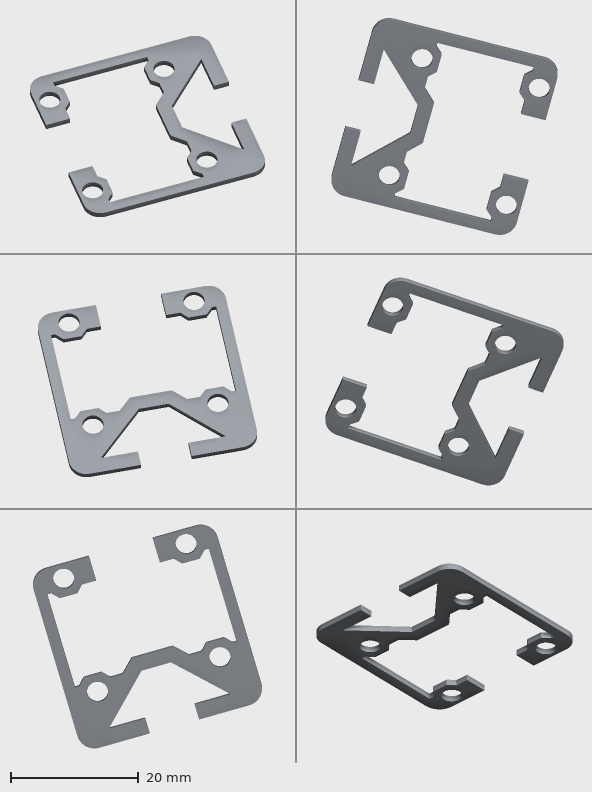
import cadquery as cq

side = 30.0
thickness = 1.0
corner_radius = 2.75
half = side / 2

slot_mouth_half = 4.05
slot_lip = 2.5
slot_wide_half = 10.0
slot_floor_half = 2.4
slot_lip_y = half - slot_lip
slot_floor_y = slot_lip_y - (slot_wide_half - slot_floor_half)

wall = 1.8
cavity_half = half - wall
cavity_top_y = 4.65
cavity_bottom_y = -11.0
cavity_mouth_half = 5.22
hub_half = 3.35
hub_drop = 2.05
hub_top_half = hub_half + hub_drop

hole_x = 10.0
hole_radius = 1.65
upper_hole_y = 6.3
lower_hole_y = -12.7
boss_tip_half = 1.45
boss_base_half = 2.52
boss_height = 1.15


def mirrored_prism(right_side):
    """Extrude an outline given by its +X half, mirrored about the Y axis."""
    left_side = [(-x, y) for x, y in reversed(right_side)]
    return cq.Workplane("XY").polyline(right_side + left_side).close().extrude(thickness)


def boss(x, base_y, height):
    """Trapezoid standing on the cavity edge; a negative height points to -Y."""
    return (
        cq.Workplane("XY")
        .moveTo(x - boss_base_half, base_y)
        .lineTo(x + boss_base_half, base_y)
        .lineTo(x + boss_tip_half, base_y + height)
        .lineTo(x - boss_tip_half, base_y + height)
        .close()
        .extrude(thickness)
    )


plate = cq.Workplane("XY").rect(side, side).extrude(thickness).edges("|Z").fillet(corner_radius)

slot = mirrored_prism([
    (slot_mouth_half, half),
    (slot_mouth_half, slot_lip_y),
    (slot_wide_half, slot_lip_y),
    (slot_floor_half, slot_floor_y),
])

cavity = mirrored_prism([
    (hub_half, cavity_top_y - hub_drop),
    (hub_top_half, cavity_top_y),
    (cavity_half, cavity_top_y),
    (cavity_half, cavity_bottom_y),
    (cavity_mouth_half, cavity_bottom_y),
    (cavity_mouth_half, -half),
])

result = plate.cut(slot).cut(cavity)

for x in (-hole_x, hole_x):
    result = result.union(boss(x, cavity_top_y, -boss_height))
    result = result.union(boss(x, cavity_bottom_y, boss_height))

hole_centers = [(x, y) for x in (-hole_x, hole_x) for y in (upper_hole_y, lower_hole_y)]
holes = cq.Workplane("XY").pushPoints(hole_centers).circle(hole_radius).extrude(thickness)
result = result.cut(holes)